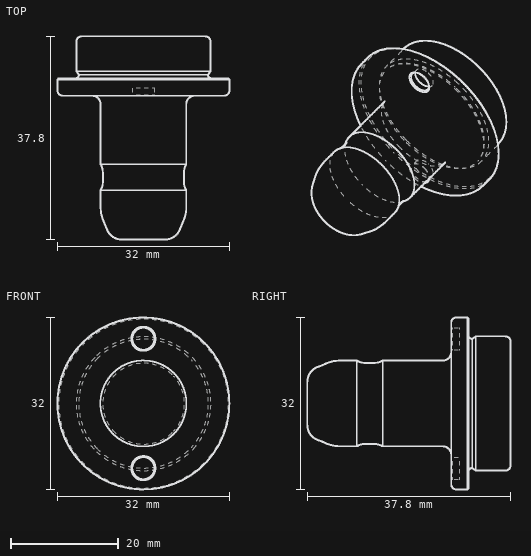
import cadquery as cq
import math

total_length = 37.8
nose_cone_end = 3.7
nose_length = 5.95
groove_start = 9.22
groove_floor_start = 10.62
groove_floor_end = 12.47
groove_end = 14.02
flange_front = 26.72
flange_back = 30.0
relief_bottom = 30.6
relief_end = 31.35

shank_radius = 16.0 / 2
groove_radius = 7.55
flange_radius = 32.0 / 2
head_radius = 25.0 / 2
relief_radius = 12.02

tip_flat_radius = 4.0
tip_round = 3.0
nose_cone_angle = math.radians(23)
nose_blend = nose_length - nose_cone_end
nose_blend_radius = nose_blend / math.sin(nose_cone_angle)

shank_fillet = 1.5
flange_round = 1.02
flange_back_chamfer = 0.25
head_round = 1.02

hole_diameter = 4.1
hole_chamfer = 0.23
hole_depth = 1.5
hole_offset = 12.02


def groove_wall_radius(wall_length):
    """Radius of an arc tangent to the groove floor that rises to the shank."""
    depth = shank_radius - groove_radius
    return (wall_length**2 + depth**2) / (2 * depth)


def turned_body():
    tip_round_end = (
        tip_flat_radius + tip_round * math.cos(nose_cone_angle),
        tip_round * (1 - math.sin(nose_cone_angle)),
    )
    cone_end = (
        shank_radius - nose_blend_radius * (1 - math.cos(nose_cone_angle)),
        nose_cone_end,
    )
    relief_round = relief_bottom - flange_back
    front_wall = groove_wall_radius(groove_floor_start - groove_start)
    back_wall = groove_wall_radius(groove_end - groove_floor_end)
    profile = (
        cq.Workplane("XY")
        .lineTo(tip_flat_radius, 0)
        .radiusArc(tip_round_end, -tip_round)
        .lineTo(*cone_end)
        .radiusArc((shank_radius, nose_length), -nose_blend_radius)
        .lineTo(shank_radius, groove_start)
        .radiusArc((groove_radius, groove_floor_start), front_wall)
        .lineTo(groove_radius, groove_floor_end)
        .radiusArc((shank_radius, groove_end), back_wall)
        .lineTo(shank_radius, flange_front - shank_fillet)
        .radiusArc((shank_radius + shank_fillet, flange_front), shank_fillet)
        .lineTo(flange_radius - flange_round, flange_front)
        .radiusArc((flange_radius, flange_front + flange_round), -flange_round)
        .lineTo(flange_radius, flange_back - flange_back_chamfer)
        .lineTo(flange_radius - flange_back_chamfer, flange_back)
        .lineTo(relief_radius + relief_round, flange_back)
        .radiusArc((relief_radius, relief_bottom), relief_round)
        .lineTo(head_radius, relief_end)
        .lineTo(head_radius, total_length - head_round)
        .radiusArc((head_radius - head_round, total_length), -head_round)
        .lineTo(0, total_length)
        .close()
    )
    return profile.revolve(360, (0, 0, 0), (0, 1, 0))


def pin_hole(z):
    """Blind hole cutter with a chamfered mouth, running along +Y from the flange."""
    hole_radius = hole_diameter / 2
    profile = (
        cq.Workplane("XY")
        .moveTo(0, flange_front)
        .lineTo(hole_radius + hole_chamfer, flange_front)
        .lineTo(hole_radius, flange_front + hole_chamfer)
        .lineTo(hole_radius, flange_front + hole_depth)
        .lineTo(0, flange_front + hole_depth)
        .close()
    )
    return profile.revolve(360, (0, 0, 0), (0, 1, 0)).translate((0, 0, z))


result = turned_body()
for z in (-hole_offset, hole_offset):
    result = result.cut(pin_hole(z))